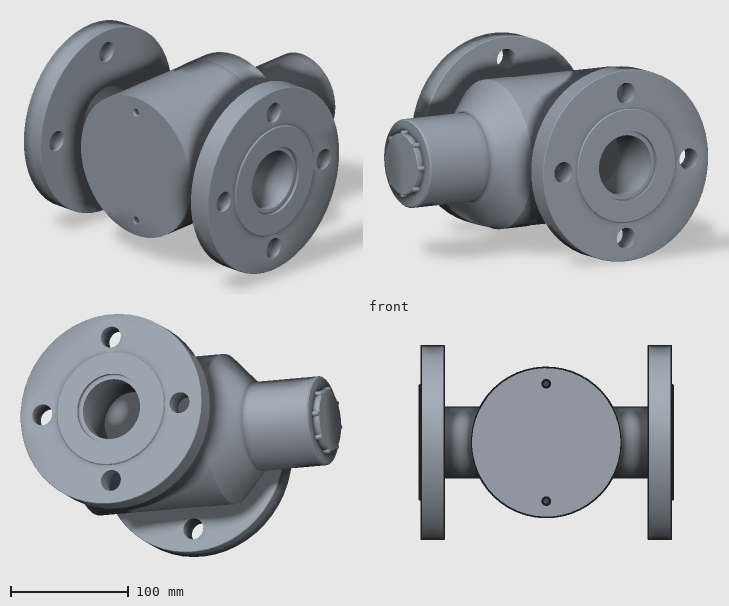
import cadquery as cq
import math


OVERALL_LENGTH = 241.0

FLANGE_DIAMETER = 165.0
FLANGE_THICKNESS = 20.0
FLANGE_CHAMFER = 0.5
RAISED_FACE_DIAMETER = 98.0
RAISED_FACE_CHAMFER = 0.7
RAISED_FACE_HEIGHT = 1.5
FACE_TO_FACE = 216.0
BOLT_HOLE_DIAMETER = 18.0
BOLT_CIRCLE_DIAMETER = 125.0
BOLT_COUNT = 4

PIPE_OUTER_DIAMETER = 60.2
PIPE_INNER_DIAMETER = 52.0
PIPE_SETBACK = 3.0
SOCKET_FLOOR_X = 54.2

HOUSING_DIAMETER = 127.0
HOUSING_START_Y = -57.0
HOUSING_END_Y = 42.7
END_HOLE_DIAMETER = 5.3
END_HOLE_DEPTH = 12.0
END_HOLE_CHAMFER = 1.0
END_HOLE_SPACING = 99.8

COVER_DIAMETER = 128.0
COVER_RIM_WIDTH = 24.5
NECK_DIAMETER = 76.0
NECK_LENGTH = 59.5
NECK_CHAMFER = 1.2

KNOB_DIAMETER = 52.5
KNOB_CHAMFER = 0.7
GRIP_RIB_COUNT = 8
GRIP_RIB_RADIUS = 2.2
GRIP_TIP_RADIUS = 29.0

SHOULDER_START_Y = HOUSING_END_Y + COVER_RIM_WIDTH
NECK_START_Y = SHOULDER_START_Y + (COVER_DIAMETER - NECK_DIAMETER) / 2
NECK_END_Y = NECK_START_Y + NECK_LENGTH
KNOB_END_Y = OVERALL_LENGTH - FLANGE_DIAMETER / 2

FACE_X = FACE_TO_FACE / 2
FLANGE_FRONT_X = FACE_X - RAISED_FACE_HEIGHT
FLANGE_BACK_X = FLANGE_FRONT_X - FLANGE_THICKNESS
PIPE_END_X = FACE_X - PIPE_SETBACK


def rod_along_x(diameter, start, end):
    """Cylinder on the X axis."""
    return cq.Workplane("YZ", origin=(start, 0, 0)).circle(diameter / 2).extrude(end - start)


def rod_along_y(diameter, start, end):
    """Cylinder on the Y axis."""
    return cq.Workplane("XZ", origin=(0, start, 0)).circle(diameter / 2).extrude(start - end)


def make_flange():
    """Flange on the +X side: chamfered disc, raised face, pipe bore and bolt holes."""
    disc = rod_along_x(FLANGE_DIAMETER, FLANGE_BACK_X, FLANGE_FRONT_X).edges().chamfer(FLANGE_CHAMFER)
    raised_face = rod_along_x(RAISED_FACE_DIAMETER, FLANGE_FRONT_X, FACE_X).faces(">X").chamfer(RAISED_FACE_CHAMFER)
    bore = rod_along_x(PIPE_OUTER_DIAMETER, FLANGE_BACK_X, FACE_X)
    bolt_holes = (
        cq.Workplane("YZ", origin=(FLANGE_BACK_X, 0, 0))
        .polarArray(BOLT_CIRCLE_DIAMETER / 2, 0, 360, BOLT_COUNT)
        .circle(BOLT_HOLE_DIAMETER / 2)
        .extrude(FLANGE_THICKNESS)
    )
    return disc.union(raised_face).cut(bore).cut(bolt_holes)


def make_pipe():
    """Pipe on the +X side, from the housing socket floor to inside the flange bore."""
    outside = rod_along_x(PIPE_OUTER_DIAMETER, SOCKET_FLOOR_X, PIPE_END_X)
    inside = rod_along_x(PIPE_INNER_DIAMETER, SOCKET_FLOOR_X, PIPE_END_X)
    return outside.cut(inside)


def both_sides(body):
    """The +X body and its half-turn copy on the -X side."""
    return [body.rotate((0, 0, 0), (0, 0, 1), angle).val() for angle in (0, 180)]


def make_housing():
    """Cylinder with a flat-bottomed pipe socket on each side and two holes in its end face."""
    housing = rod_along_y(HOUSING_DIAMETER, HOUSING_START_Y, HOUSING_END_Y)
    for side in (-1, 1):
        housing = housing.cut(rod_along_x(PIPE_OUTER_DIAMETER, side * SOCKET_FLOOR_X, side * PIPE_END_X))
    mouth_diameter = END_HOLE_DIAMETER + 2 * END_HOLE_CHAMFER
    return (
        housing.faces("<Y")
        .workplane(origin=(0, HOUSING_START_Y, 0))
        .pushPoints([(0, -END_HOLE_SPACING / 2), (0, END_HOLE_SPACING / 2)])
        .cskHole(END_HOLE_DIAMETER, mouth_diameter, 90, END_HOLE_DEPTH)
    )


def make_cover():
    """Rim, conical shoulder and neck, turned about the Y axis."""
    rim_radius = COVER_DIAMETER / 2
    neck_radius = NECK_DIAMETER / 2
    profile = [
        (0, HOUSING_END_Y),
        (rim_radius, HOUSING_END_Y),
        (rim_radius, SHOULDER_START_Y),
        (neck_radius, NECK_START_Y),
        (neck_radius, NECK_END_Y - NECK_CHAMFER),
        (neck_radius - NECK_CHAMFER, NECK_END_Y),
        (0, NECK_END_Y),
    ]
    return cq.Workplane("XY").polyline(profile).close().revolve(360, (0, 0, 0), (0, 1, 0))


def make_knob():
    """Disc with rounded grip ribs around its rim, all chamfered at the outer end."""
    knob = rod_along_y(KNOB_DIAMETER, NECK_END_Y, KNOB_END_Y).faces(">Y").chamfer(KNOB_CHAMFER)
    rib_centre_radius = GRIP_TIP_RADIUS - GRIP_RIB_RADIUS
    for index in range(GRIP_RIB_COUNT):
        angle = 2 * math.pi * index / GRIP_RIB_COUNT
        centre_x = rib_centre_radius * math.cos(angle)
        centre_z = rib_centre_radius * math.sin(angle)
        rib = rod_along_y(2 * GRIP_RIB_RADIUS, NECK_END_Y, KNOB_END_Y).faces(">Y").chamfer(KNOB_CHAMFER)
        rib = rib.translate((centre_x, 0, centre_z))
        knob = knob.union(rib)
    return knob


flanges = both_sides(make_flange())
pipes = both_sides(make_pipe())
housing = make_housing()
cover = make_cover()
knob = make_knob()

result = cq.Compound.makeCompound([housing.val(), cover.val(), knob.val(), *flanges, *pipes])